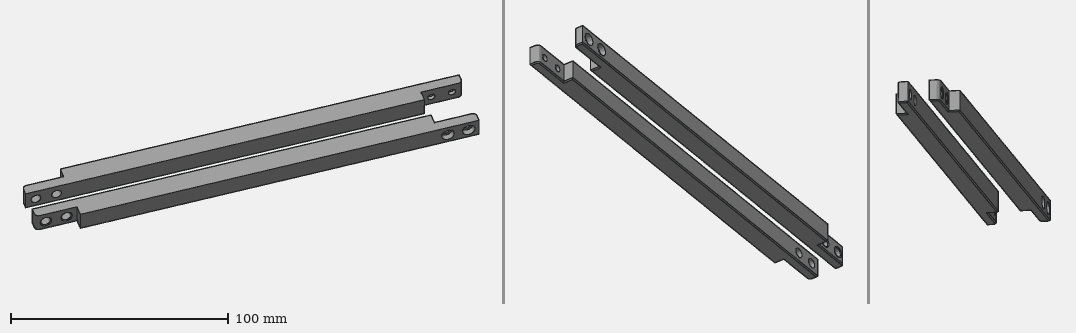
import cadquery as cq

length = 213.0
bar_size = 10.0
bar_gap = 10.0

tongue_length = 20.0
tongue_thickness = bar_size / 2
tip_radius = 2.0
bottom_chamfer = 0.6

hole_spacing = 10.0
end_to_first_hole = hole_spacing / 2
clearance_diameter = 3.5
head_diameter = 6.0
head_depth = 3.0
insert_diameter = 4.7
insert_chamfer = 0.5

inner_x = bar_gap / 2
outer_x = inner_x + bar_size
lap_x = inner_x + tongue_thickness
half_length = length / 2
shoulder_y = half_length - tongue_length
bottom_z = -bar_size / 2
far_hole_y = half_length - end_to_first_hole


def bar_blank():
    """Right-hand bar with an outer tongue at +Y and an inner tongue at -Y."""
    outline = [
        (inner_x, -half_length),
        (lap_x, -half_length),
        (lap_x, -shoulder_y),
        (outer_x, -shoulder_y),
        (outer_x, half_length),
        (lap_x, half_length),
        (lap_x, shoulder_y),
        (inner_x, shoulder_y),
    ]
    blank = cq.Workplane("XY").workplane(offset=bottom_z).polyline(outline).close().extrude(bar_size)
    for y in (-half_length, half_length):
        tip_edge = cq.selectors.NearestToPointSelector((lap_x, y, 0))
        blank = blank.edges("|Z").edges(tip_edge).fillet(tip_radius)
    return blank.faces("<Z").edges().chamfer(bottom_chamfer)


def cylinder_along_x(diameter, start_x, end_x, y):
    """Cylinder at mid-height of the bar, used to cut a hole across it."""
    return (
        cq.Workplane("YZ", origin=(start_x, y, 0))
        .circle(diameter / 2)
        .extrude(end_x - start_x)
    )


def insert_hole_cutter(y):
    """Hole through the inner tongue with a chamfered mouth on its lap face."""
    hole = cylinder_along_x(insert_diameter, inner_x, lap_x, y)
    mouth = (
        cq.Workplane("YZ", origin=(lap_x, y, 0))
        .circle(insert_diameter / 2 + insert_chamfer)
        .workplane(offset=-insert_chamfer)
        .circle(insert_diameter / 2)
        .loft(ruled=True)
    )
    return hole.union(mouth)


def make_bar():
    """Blank with counterbored holes at +Y and chamfered insert holes at -Y."""
    bar = bar_blank()
    for y in (far_hole_y, far_hole_y - hole_spacing):
        bar = bar.cut(cylinder_along_x(clearance_diameter, lap_x, outer_x, y))
        bar = bar.cut(cylinder_along_x(head_diameter, outer_x - head_depth, outer_x, y))
        bar = bar.cut(insert_hole_cutter(-y))
    return bar


bars = []
for mirrored in (False, True):
    bar = make_bar()
    if mirrored:
        bar = bar.mirror("YZ")
    bars.append(bar.val())

result = cq.Compound.makeCompound(bars)